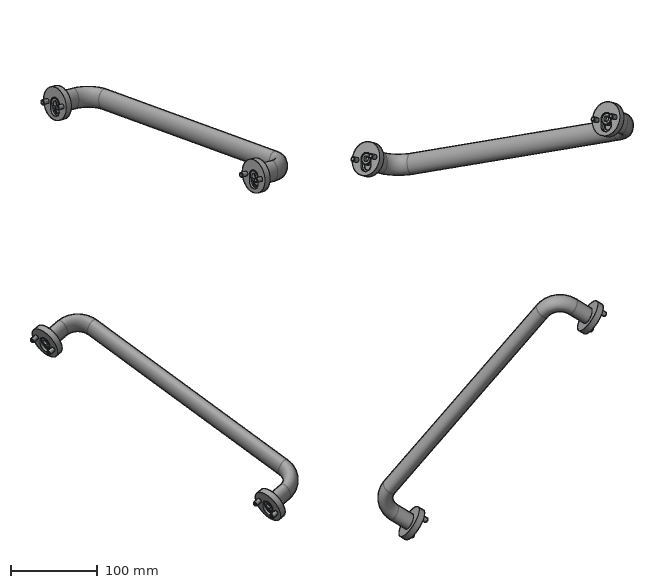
import cadquery as cq

overall_length = 390.0
overall_depth = 71.0

flange_diameter = 40.0
flange_thickness = 7.8
flange_spacing = overall_length - flange_diameter

pin_diameter = 6.0
pin_tip_diameter = 4.3
pin_length = 8.0
pin_chamfer = (pin_diameter - pin_tip_diameter) / 2
pin_spacing = 26.0

bar_height = 25.0
bar_thickness = 17.5
bend_radius = 25.0

slot_drop = 7.8
slot_width = 15.0
slot_depth = 3.5
inner_slot_width = 10.0
inner_slot_depth = 5.0

head_diameter = 14.0
head_chamfer = 0.8
head_recess = 0.5
socket_diameter = 6.5
socket_depth = 4.0

grip_y = overall_depth / 2 - bar_thickness / 2
flange_back_y = pin_length - overall_depth / 2
flange_front_y = flange_back_y + flange_thickness
end_x = flange_spacing / 2


def cylinder_along_y(x, start_y, diameter, length):
    """Cylinder on the line z = 0 that runs from start_y toward +Y."""
    base = cq.Workplane("XZ", origin=(x, start_y, 0))
    return base.circle(diameter / 2).extrude(-length)


def slot_along_y(x, width, depth):
    """Round-ended slot that drops from the flange centre, cut in from the flange back."""
    base = cq.Workplane("XZ", origin=(x, flange_back_y, 0))
    return base.center(0, -slot_drop / 2).slot2D(slot_drop + width, width, 90).extrude(-depth)


def make_grip():
    """Oval bar swept along both legs, both bends and the long grip."""
    bend_start_y = grip_y - bend_radius
    grip_end_x = end_x - bend_radius
    path = (
        cq.Workplane("XY")
        .moveTo(-end_x, flange_front_y)
        .lineTo(-end_x, bend_start_y)
        .tangentArcPoint((-grip_end_x, grip_y), relative=False)
        .lineTo(grip_end_x, grip_y)
        .tangentArcPoint((end_x, bend_start_y), relative=False)
        .lineTo(end_x, flange_front_y)
    )
    profile = cq.Workplane("XZ", origin=(-end_x, flange_front_y, 0))
    return profile.ellipse(bar_thickness / 2, bar_height / 2).sweep(path)


def make_flange(x):
    """Round flange with a stepped slot, a screw head in the slot and two pins."""
    flange = cylinder_along_y(x, flange_back_y, flange_diameter, flange_thickness)
    flange = flange.cut(slot_along_y(x, slot_width, slot_depth))
    flange = flange.cut(slot_along_y(x, inner_slot_width, inner_slot_depth))

    head_y = flange_back_y + head_recess
    head = cylinder_along_y(x, head_y, head_diameter, flange_front_y - head_y)
    head = head.faces("<Y").chamfer(head_chamfer)
    socket = cylinder_along_y(x, head_y, socket_diameter, socket_depth)
    flange = flange.union(head).cut(socket)

    for side in (-1, 1):
        pin_x = x + side * pin_spacing / 2
        pin = cylinder_along_y(pin_x, flange_back_y - pin_length, pin_diameter, pin_length)
        flange = flange.union(pin.faces("<Y").chamfer(pin_chamfer))
    return flange


result = make_grip()
for flange_x in (-end_x, end_x):
    result = result.union(make_flange(flange_x))